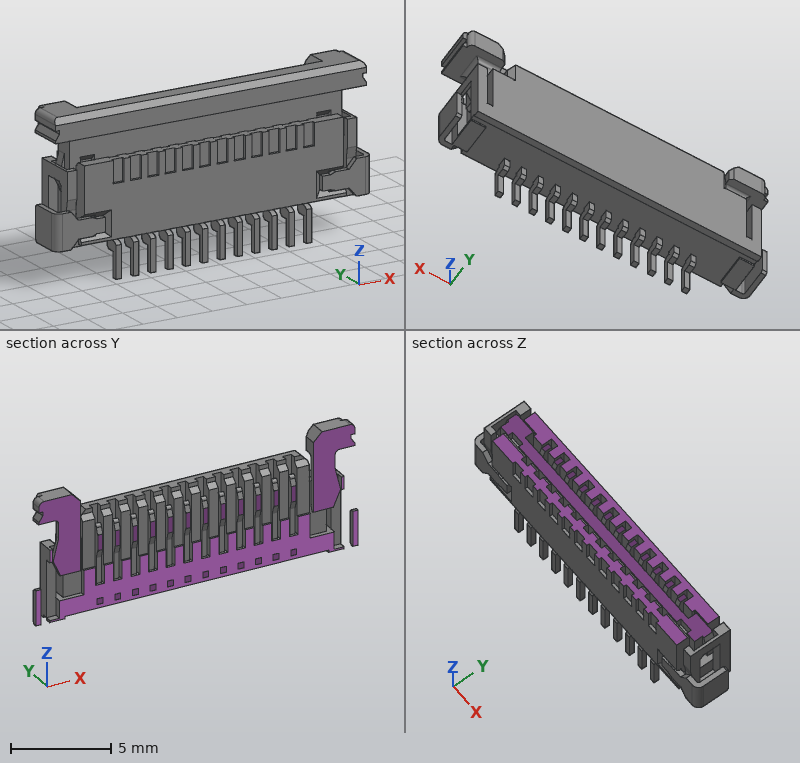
import cadquery as cq


half_length = 9.15
half_depth = 1.35
front = -half_depth
back = half_depth

contact_count = 12
contact_span = 11.0
contact_pitch = contact_span / (contact_count - 1)
contact_x = [-contact_span / 2 + i * contact_pitch for i in range(contact_count)]
pin_width = 0.31
pin_thickness = 0.31
pin_bottom = -2.0
knee_back = -0.45
knee_front = -0.95
knee_bottom = -0.6
knee_bevel = 0.16
knee_shoulder = -0.2
knee_ceiling = -0.04
knee_arc_y = -1.2
knee_arc_z = -0.1
beam_width = 0.3
beam_back = 0.77
beam_front = 0.48
beam_touch = 0.2
beam_top = 4.75
beam_crest = (beam_back + beam_front) / 2
beam_shoulder = 4.6
beam_touch_z = 3.85
beam_root_z = 2.93
bar_bottom = 0.37
bar_top = 0.65

core_half_length = 7.48
core_top = 4.3
seat_relief = 0.13
rail_front = 1.0
slot_floor = 2.47
wall_half_length = 6.45
wall_top = 5.64
wall_slope = 0.33
wall_inner = 0.73
wall_corner = 0.3
cable_gap_back = 0.44
lead_in_top = 5.4
lead_in_bottom = 5.15
cavity_width = 0.48
cavity_back = 1.05
cavity_floor = 1.46
notch_width = 0.62
notch_height = 1.23
notch_depth = 0.16
rear_notch_depth = 0.31
plate_bevel = 0.22
base_top = 1.1
clip_thickness = 0.3
base_front = front + clip_thickness

frame_inner = 7.81
frame_outer = 8.36
frame_top = 4.08
frame_front = -1.17
frame_bevel_top = 2.56
frame_bevel_bottom = 1.98
window_back = 0.7
window_front = -0.55
window_top = 3.35
window_corner = 0.2
frame_skin = 0.16
relief_front = -0.82

head_half_length = 8.99
head_top = 6.9
head_bottom = 5.64
head_front = -1.08
head_back = 1.25
head_round = 0.3
head_bevel = 0.31
groove_depth = 0.22
groove_top = 6.3
groove_knee = 6.11
groove_bottom = 5.78
recess_front = 0.07
prong_inner_top = 7.1
prong_inner = 6.6
prong_chamfer_x = 0.2
prong_chamfer_y = 0.16
tongue_half_length = 7.87
tongue_front = -0.53
tongue_back = 0.59
tongue_bevel_height = 0.33
tongue_bevel_depth = 0.11
neck_radius = 0.22
latch_back = 0.55
latch_front = -0.02
latch_top = 4.63
latch_peak = 3.39
latch_bottom = 2.8
latch_height = 0.31
latch_heel = 0.04
pocket_inner = 6.42
pocket_outer = 7.23
pocket_top = 4.48
pocket_bottom = 3.66
pocket_depth = 0.27
pocket_slope = 0.27

clip_top = 2.0
clip_back = 0.64
clip_round = 0.4
clip_corner = 0.13
arm_taper_start = 8.25
arm_middle = clip_top / 2
arm_half_height = 1.0 / 2
tip_half_height = 0.79 / 2
arm_step_outer = 7.03
arm_step_inner = 6.75
arm_end = 6.28

seat_end = 5.93
seat_bottom = 0.3
seat_top = 1.72
seat_slot_half_height = 0.55
lip_half_length = 7.67
lip_top = arm_middle - arm_half_height


def block(x0, x1, y0, y1, z0, z1):
    """Box between two opposite corners."""
    return cq.Workplane("XY").box(x1 - x0, y1 - y0, z1 - z0, centered=False).translate((x0, y0, z0))


def symmetric_block(half_x, y0, y1, z0, z1):
    """Box centred on X = 0."""
    return block(-half_x, half_x, y0, y1, z0, z1)


def along_x(points, x0, x1):
    """Closed (y, z) outline extruded from x0 to x1."""
    return cq.Workplane("YZ").polyline(points).close().extrude(x1 - x0).translate((x0, 0, 0))


def along_y(points, y0, y1):
    """Closed (x, z) outline extruded from y0 to y1."""
    return cq.Workplane("XZ").polyline(points).close().extrude(y0 - y1).translate((0, y0, 0))


def along_z(points, z0, z1):
    """Closed (x, y) outline extruded from z0 to z1."""
    return cq.Workplane("XY").polyline(points).close().extrude(z1 - z0).translate((0, 0, z0))


def mirrored(shape):
    """Copy of a +X feature at the -X end."""
    return shape.mirror("YZ")


def both_ends(shape):
    """A +X feature together with its copy at the -X end."""
    return shape.union(mirrored(shape))


def housing_core():
    """Floor, front plate and rear wall between the two end frames."""
    core = along_x(
        [
            (front, seat_relief),
            (rail_front, seat_relief),
            (rail_front, 0),
            (back, 0),
            (back, core_top),
            (wall_inner, core_top),
            (tongue_back, core_top - wall_inner + tongue_back),
            (tongue_back, slot_floor),
            (tongue_front, slot_floor),
            (tongue_front, core_top - plate_bevel),
            (tongue_front - plate_bevel, core_top),
            (front, core_top),
        ],
        -core_half_length,
        core_half_length,
    )
    lip = symmetric_block(lip_half_length, front, base_front, seat_relief, lip_top)
    return core.union(lip)


def rear_wall():
    """Raised wall behind the cable slot, with a lead-in and bevelled ends."""
    wall = along_x(
        [
            (back, slot_floor),
            (back, wall_top),
            (wall_inner, wall_top),
            (wall_inner, lead_in_top),
            (cable_gap_back, lead_in_bottom),
            (cable_gap_back, slot_floor),
        ],
        -wall_half_length,
        wall_half_length,
    )
    end_slope = along_y(
        [
            (wall_half_length, wall_top),
            (wall_half_length - wall_slope, wall_top),
            (wall_half_length, wall_top - wall_slope),
        ],
        0,
        back,
    )
    end_corner = along_z(
        [
            (wall_half_length, back),
            (wall_half_length - wall_corner, back),
            (wall_half_length, back - wall_corner),
        ],
        core_top,
        wall_top,
    )
    return wall.cut(both_ends(end_slope)).cut(both_ends(end_corner))


def end_frame():
    """Frame at the +X end: two legs under a bar, hollowed for the slider latch."""
    foot = [
        (base_front, 0),
        (window_back, 0),
        (window_back, seat_relief),
        (rail_front, seat_relief),
        (rail_front, 0),
        (back, 0),
    ]
    frame = along_x(
        [
            *foot,
            (back, frame_top),
            (frame_front, frame_top),
            (frame_front, frame_bevel_top),
            (base_front, frame_bevel_bottom),
        ],
        frame_inner,
        frame_outer,
    )
    window = along_x(
        [
            (window_back, seat_relief),
            (window_back, window_top),
            (window_front + window_corner, window_top),
            (window_front, window_top - window_corner),
            (window_front, seat_relief),
        ],
        frame_inner,
        frame_outer,
    )
    relief_outer = frame_outer - frame_skin
    relief_bottom = window_top - window_corner
    latch_relief = block(frame_inner, relief_outer, relief_front, window_back, relief_bottom, frame_top)
    bridge = along_x([*foot, (back, base_top), (base_front, base_top)], core_half_length, frame_inner)
    return frame.cut(window).cut(latch_relief).union(bridge)


def clip_seat():
    """Flared pocket in the front plate that takes the +X clip arm."""
    flare = (
        cq.Workplane("XZ", origin=(0, front, 0))
        .polyline(
            [
                (seat_end, seat_bottom),
                (half_length, seat_bottom),
                (half_length, seat_top),
                (seat_end, seat_top),
            ]
        )
        .close()
        .workplane(offset=-clip_thickness)
        .polyline(
            [
                (arm_end, arm_middle - tip_half_height),
                (half_length, arm_middle - tip_half_height),
                (half_length, arm_middle + tip_half_height),
                (arm_end, arm_middle + tip_half_height),
            ]
        )
        .close()
        .loft(ruled=True)
    )
    slot = block(
        arm_step_inner,
        half_length,
        front,
        front + clip_thickness,
        arm_middle - seat_slot_half_height,
        arm_middle + seat_slot_half_height,
    )
    return flare.union(slot)


def contact_cavity(x):
    """Slot in the rear wall around one contact beam."""
    half = cavity_width / 2
    return block(x - half, x + half, recess_front, cavity_back, cavity_floor, wall_top)


def front_notch(x):
    """Shallow notch in the top of the front plate, in line with one contact."""
    half = notch_width / 2
    return block(x - half, x + half, front, front + notch_depth, core_top - notch_height, core_top)


def rear_notch(x):
    """Clearance for one contact behind the top of the front plate."""
    half = cavity_width / 2
    notch_front = tongue_front - rear_notch_depth
    return block(x - half, x + half, notch_front, tongue_front, core_top - notch_height, core_top)


def hold_down_clip():
    """Bent clip at the +X end: a side plate and a tapered front arm."""
    side = half_length - clip_thickness
    inner_round = clip_round - clip_thickness
    sheet = (
        cq.Workplane("XY")
        .moveTo(half_length, clip_back)
        .lineTo(half_length, front + clip_round)
        .radiusArc((half_length - clip_round, front), clip_round)
        .lineTo(arm_end, front)
        .lineTo(arm_end, front + clip_thickness)
        .lineTo(side - inner_round, front + clip_thickness)
        .radiusArc((side, front + clip_round), -inner_round)
        .lineTo(side, clip_back)
        .close()
        .extrude(clip_top)
    )
    sheet = sheet.edges("|X and >Y").chamfer(clip_corner)
    upper = [
        (half_length, clip_top),
        (arm_taper_start, clip_top),
        (frame_inner, arm_middle + arm_half_height),
        (arm_step_outer, arm_middle + arm_half_height),
        (arm_step_inner, arm_middle + tip_half_height),
        (arm_end, arm_middle + tip_half_height),
    ]
    lower = [(x, 2 * arm_middle - z) for x, z in reversed(upper)]
    return sheet.intersect(along_y(upper + lower, front, back))


def make_housing():
    tongue_well = block(wall_half_length, core_half_length, tongue_front, tongue_back, base_top, slot_floor)
    housing = housing_core().cut(both_ends(clip_seat())).cut(both_ends(tongue_well))
    housing = housing.union(rear_wall()).union(both_ends(end_frame()))
    for x in contact_x:
        housing = housing.cut(contact_cavity(x)).cut(front_notch(x)).cut(rear_notch(x))
    clip = hold_down_clip()
    return housing.union(clip).union(mirrored(clip))


def prong_corner():
    """Material removed at the +X rear corner to leave a set-back rounded post."""
    post_x = head_half_length - groove_depth - head_round
    post_y = head_back - head_round
    round_z = head_top - head_round
    corner = block(post_x, half_length, post_y, back, head_bottom, head_top)
    upright = (
        cq.Workplane("XY", origin=(post_x, post_y, head_bottom))
        .circle(head_round)
        .extrude(head_top - head_bottom)
    )
    rolled_top = (
        cq.Workplane("XZ", origin=(post_x, back, round_z))
        .circle(head_round)
        .extrude(back - post_y + head_round)
    )
    shaft = block(post_x - head_round, post_x + head_round, post_y - head_round, back, head_bottom, round_z)
    return corner.cut(upright.intersect(rolled_top.union(shaft)))


def slider_head():
    """Grooved bar with a rear prong at each end."""
    right_side = [
        (head_half_length, head_bottom),
        (head_half_length, groove_bottom),
        (head_half_length - groove_depth, groove_knee),
        (head_half_length - groove_depth, groove_top),
        (head_half_length, groove_top),
        (head_half_length, head_top),
    ]
    left_side = [(-x, z) for x, z in reversed(right_side)]
    head = along_y(right_side + left_side, head_front, head_back)
    head = head.edges("|Y and >Z").fillet(head_round)

    front_bevel = along_x(
        [
            (head_front, head_top),
            (head_front + head_bevel, head_top),
            (head_front, head_top - head_bevel),
        ],
        -head_half_length,
        head_half_length,
    )
    head = head.cut(front_bevel)
    return head.cut(both_ends(prong_corner()))


def slider_tongue():
    """Blade that presses the cable, thicker beyond the cable slot."""
    bevel_top = slot_floor + tongue_bevel_height
    half_bottom = tongue_half_length - tongue_bevel_depth
    tongue = symmetric_block(tongue_half_length, tongue_front, tongue_back, bevel_top, head_bottom)
    foot = (
        tongue.faces("<Z")
        .workplane(centerOption="CenterOfBoundBox")
        .rect(2 * tongue_half_length, tongue_back - tongue_front)
        .workplane(offset=tongue_bevel_height)
        .rect(2 * half_bottom, tongue_back - tongue_front - 2 * tongue_bevel_depth)
        .loft(combine=False)
    )
    return tongue.union(foot)


def cable_recess():
    """Room for the cable behind the middle of the slider, flaring at the top."""
    prong_chamfer = along_z(
        [
            (prong_inner, head_back),
            (prong_inner + prong_chamfer_x, head_back),
            (prong_inner, head_back - prong_chamfer_y),
        ],
        head_bottom,
        head_top,
    )
    slope_bottom = head_top - (prong_inner_top - prong_inner)
    recess = along_y(
        [
            (-prong_inner_top, head_top),
            (prong_inner_top, head_top),
            (prong_inner, slope_bottom),
            (prong_inner, slot_floor),
            (-prong_inner, slot_floor),
            (-prong_inner, slope_bottom),
        ],
        recess_front,
        head_back,
    )
    return recess.union(both_ends(prong_chamfer))


def slider_latch():
    """Ramped bump on the +X end of the tongue, held under the frame bar."""
    return along_y(
        [
            (tongue_half_length, latch_top),
            (tongue_half_length + latch_height, latch_peak),
            (tongue_half_length + latch_heel, latch_bottom),
            (tongue_half_length - tongue_bevel_depth, slot_floor),
        ],
        latch_front,
        latch_back,
    )


def make_slider():
    slider = slider_head().union(slider_tongue())
    neck_edges = cq.selectors.BoxSelector(
        (-tongue_half_length - neck_radius, tongue_front - neck_radius, head_bottom - neck_radius),
        (tongue_half_length + neck_radius, tongue_back + neck_radius, head_bottom + neck_radius),
        boundingbox=True,
    )
    slider = slider.edges(neck_edges).fillet(neck_radius)
    slider = slider.cut(cable_recess()).union(both_ends(slider_latch()))
    pocket = along_x(
        [
            (tongue_front, pocket_top),
            (tongue_front + pocket_depth, pocket_top - pocket_slope),
            (tongue_front + pocket_depth, pocket_bottom),
            (tongue_front, pocket_bottom),
        ],
        pocket_inner,
        pocket_outer,
    )
    return slider.cut(both_ends(pocket))


def make_contact(x):
    """Solder pin stepped back under the floor, a buried foot, and a bowed spring beam."""
    leg_back = front + pin_thickness
    pin = (
        cq.Workplane("YZ", origin=(x - pin_width / 2, 0, 0))
        .moveTo(knee_back, bar_top)
        .lineTo(knee_back, knee_bottom + knee_bevel)
        .lineTo(knee_back - knee_bevel, knee_bottom)
        .lineTo(leg_back, knee_bottom)
        .lineTo(leg_back, pin_bottom)
        .lineTo(front, pin_bottom)
        .lineTo(front, knee_shoulder)
        .threePointArc((knee_arc_y, knee_arc_z), (knee_front, knee_ceiling))
        .lineTo(knee_front, bar_top)
        .close()
        .extrude(pin_width)
    )
    foot = block(x - pin_width / 2, x + pin_width / 2, knee_back, beam_back, bar_bottom, bar_top)
    beam = (
        cq.Workplane("YZ", origin=(x - beam_width / 2, 0, 0))
        .moveTo(beam_back, bar_bottom)
        .lineTo(beam_back, beam_shoulder)
        .threePointArc((beam_crest, beam_top), (beam_front, beam_shoulder))
        .lineTo(beam_touch, beam_touch_z)
        .lineTo(beam_front, beam_root_z)
        .lineTo(beam_front, bar_bottom)
        .close()
        .extrude(beam_width)
    )
    return pin.union(foot).union(beam)


def make_contact_set():
    """All contacts joined by the bar inside the housing floor."""
    contact_set = symmetric_block(contact_span / 2, beam_front, beam_back, bar_bottom, bar_top)
    for x in contact_x:
        contact_set = contact_set.union(make_contact(x))
    return contact_set


slider = make_slider()
contact_set = make_contact_set()
housing = make_housing().cut(contact_set)

result = cq.Compound.makeCompound([body.solids().val() for body in (housing, slider, contact_set)])